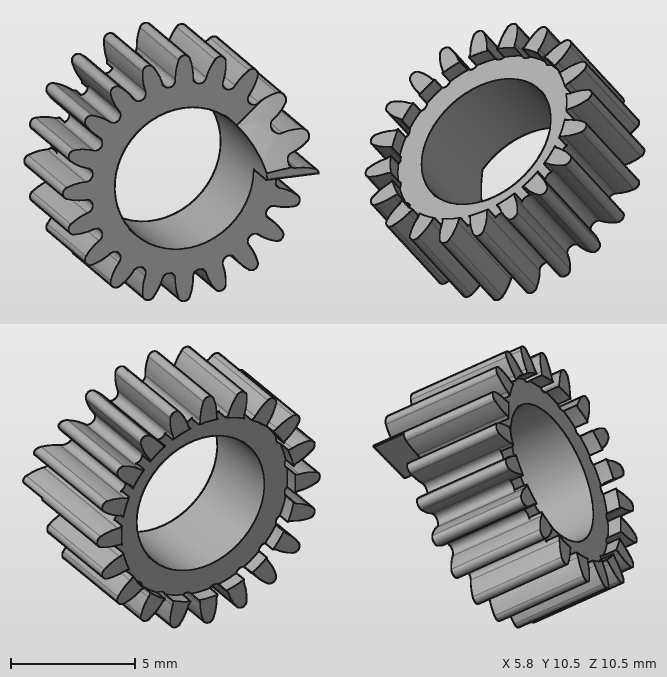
import cadquery as cq
import math

TOOTH_COUNT = 20
TOOTH_PITCH = 360.0 / TOOTH_COUNT
TIP_RADIUS = 5.25
RIM_RADIUS = 4.1
BORE_RADIUS = 3.0
GEAR_WIDTH = 4.3
RIM_SETBACK = 0.62

SHOULDER_RADIUS = 5.08
SHOULDER_HALF_WIDTH = 0.24
FLANK_MID_RADIUS = 4.66
FLANK_MID_HALF_WIDTH = 0.36
ROOT_RADIUS = 4.27
ROOT_HALF_WIDTH = 0.39
GAP_FLOOR_RADIUS = 4.01

TOTAL_LENGTH = 5.8
RAMP_FOOT_ANGLE = 41.0
RAMP_TOP_ANGLE = 6.2
RAMP_CORNER_FILLET = 0.09
RAMP_TWIST = RAMP_TOP_ANGLE - RAMP_FOOT_ANGLE
RAMP_HEIGHT = TOTAL_LENGTH - GEAR_WIDTH
CLEARANCE = 1.05
QUARTER_TURN = 90.0


def polar(radius, angle):
    """Point at a radius and an angle in degrees from +Y towards +Z."""
    turn = math.radians(angle)
    return radius * math.cos(turn), radius * math.sin(turn)


def tooth_point(radius, offset, angle):
    """Point of a tooth at the given angle, offset sideways from its centre line."""
    along_y, along_z = polar(1.0, angle)
    return radius * along_y - offset * along_z, radius * along_z + offset * along_y


def toothed_disc(length):
    """Solid toothed disc from X = 0 to the given length."""
    outline = cq.Workplane("YZ").moveTo(*tooth_point(ROOT_RADIUS, -ROOT_HALF_WIDTH, 0))
    for index in range(TOOTH_COUNT):
        angle = index * TOOTH_PITCH
        outline = (
            outline
            .threePointArc(
                tooth_point(FLANK_MID_RADIUS, -FLANK_MID_HALF_WIDTH, angle),
                tooth_point(SHOULDER_RADIUS, -SHOULDER_HALF_WIDTH, angle),
            )
            .threePointArc(
                tooth_point(TIP_RADIUS, 0, angle),
                tooth_point(SHOULDER_RADIUS, SHOULDER_HALF_WIDTH, angle),
            )
            .threePointArc(
                tooth_point(FLANK_MID_RADIUS, FLANK_MID_HALF_WIDTH, angle),
                tooth_point(ROOT_RADIUS, ROOT_HALF_WIDTH, angle),
            )
            .threePointArc(
                polar(GAP_FLOOR_RADIUS, angle + TOOTH_PITCH / 2),
                tooth_point(ROOT_RADIUS, -ROOT_HALF_WIDTH, angle + TOOTH_PITCH),
            )
        )
    return outline.close().extrude(length)


def ramp_envelope():
    """Space the ramp may fill: a helical end above, a flat side at Z = 0."""
    reach = TIP_RADIUS + CLEARANCE
    inner_reach = BORE_RADIUS - CLEARANCE
    start_angle = RAMP_FOOT_ANGLE - QUARTER_TURN
    helical_sector = (
        cq.Workplane("YZ", origin=(GEAR_WIDTH, 0, 0))
        .polyline([
            polar(inner_reach, RAMP_FOOT_ANGLE),
            polar(reach, RAMP_FOOT_ANGLE),
            tooth_point(reach, -reach, RAMP_FOOT_ANGLE),
            polar(reach, start_angle),
            polar(inner_reach, start_angle),
        ])
        .close()
        .twistExtrude(RAMP_HEIGHT, RAMP_TWIST)
    )
    upper_quarter = (
        cq.Workplane("XY")
        .box(TOTAL_LENGTH, reach, reach, centered=False)
        .edges(">X and <Z")
        .fillet(RAMP_CORNER_FILLET)
    )
    return helical_sector.intersect(upper_quarter)


gear = toothed_disc(GEAR_WIDTH)
ramp = toothed_disc(TOTAL_LENGTH).intersect(ramp_envelope())
rim_recess = cq.Workplane("YZ").circle(RIM_RADIUS).extrude(RIM_SETBACK)
bore = cq.Workplane("YZ").circle(BORE_RADIUS).extrude(TOTAL_LENGTH)

result = gear.union(ramp).cut(rim_recess).cut(bore)